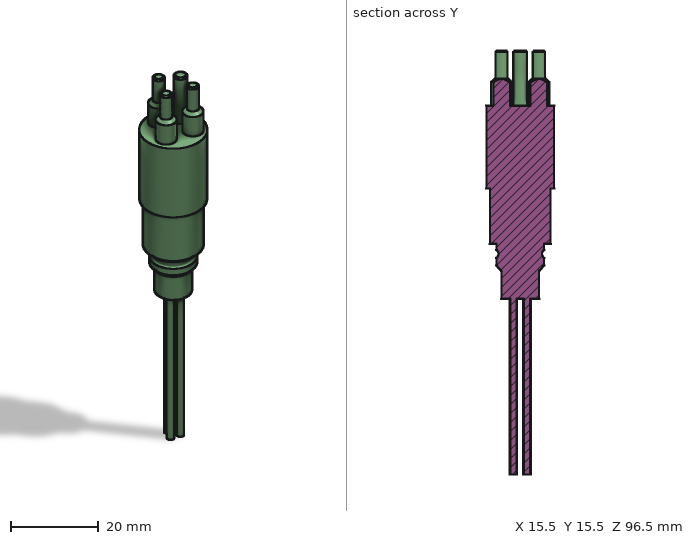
import cadquery as cq

total_height = 96.5
wire_length = 39.95
collar_cone_start = 46.3
collar_bottom = 47.6
collar_groove_bottom = 49.3
collar_groove_top = 51.1
sleeve_bottom = 52.5
head_bottom = 65.0
head_top = 84.0

head_diameter = 15.5
sleeve_diameter = 14.0
collar_diameter = 11.0
neck_diameter = 8.7
groove_depth = 0.5

contact_diameter = 2.8
contact_base_diameter = 4.8
contact_base_height = 5.3
contact_shoulder_height = 0.9
side_contact_x = 4.2
side_contact_y = 1.4
front_contact_y = -4.1
contact_positions = [
    (-side_contact_x, side_contact_y),
    (side_contact_x, side_contact_y),
    (0, front_contact_y),
]

guide_diameter = 3.2
guide_y = 4.15
pin_tip_chamfer = 0.4

wire_diameter = 1.7
wire_pair_x = 1.5
wire_pair_y = 0.5
front_wire_y = -1.5
wire_positions = [
    (-wire_pair_x, wire_pair_y),
    (wire_pair_x, wire_pair_y),
    (0, front_wire_y),
]


def make_body():
    """Revolve the stepped body, including the grooved and coned collar."""
    head_radius = head_diameter / 2
    sleeve_radius = sleeve_diameter / 2
    collar_radius = collar_diameter / 2
    neck_radius = neck_diameter / 2
    groove_floor = (collar_radius - groove_depth, (collar_groove_bottom + collar_groove_top) / 2)
    return (
        cq.Workplane("XZ")
        .moveTo(0, wire_length)
        .lineTo(neck_radius, wire_length)
        .lineTo(neck_radius, collar_cone_start)
        .lineTo(collar_radius, collar_bottom)
        .lineTo(collar_radius, collar_groove_bottom)
        .threePointArc(groove_floor, (collar_radius, collar_groove_top))
        .lineTo(collar_radius, sleeve_bottom)
        .lineTo(sleeve_radius, sleeve_bottom)
        .lineTo(sleeve_radius, head_bottom)
        .lineTo(head_radius, head_bottom)
        .lineTo(head_radius, head_top)
        .lineTo(0, head_top)
        .close()
        .revolve(360, (0, 0), (0, 1))
    )


def make_pins(positions, diameter):
    """Pins standing on the head face, with chamfered tips."""
    return (
        cq.Workplane("XY", origin=(0, 0, head_top))
        .pushPoints(positions)
        .circle(diameter / 2)
        .extrude(total_height - head_top)
        .faces(">Z")
        .chamfer(pin_tip_chamfer)
    )


def make_contact_bases():
    """Thicker contact roots whose tops taper in to the pin diameter."""
    base_radius = contact_base_diameter / 2
    straight_top = head_top + contact_base_height
    base = (
        cq.Workplane("XZ")
        .moveTo(0, head_top)
        .lineTo(base_radius, head_top)
        .lineTo(base_radius, straight_top)
        .lineTo(contact_diameter / 2, straight_top + contact_shoulder_height)
        .lineTo(0, straight_top + contact_shoulder_height)
        .close()
        .revolve(360, (0, 0), (0, 1))
    )
    bases = cq.Workplane("XY")
    for x, y in contact_positions:
        bases = bases.union(base.translate((x, y, 0)))
    return bases


def make_wires():
    """Straight wires running up to the end of the neck."""
    return (
        cq.Workplane("XY")
        .pushPoints(wire_positions)
        .circle(wire_diameter / 2)
        .extrude(wire_length)
    )


result = (
    make_body()
    .union(make_contact_bases())
    .union(make_pins(contact_positions, contact_diameter))
    .union(make_pins([(0, guide_y)], guide_diameter))
    .union(make_wires())
)